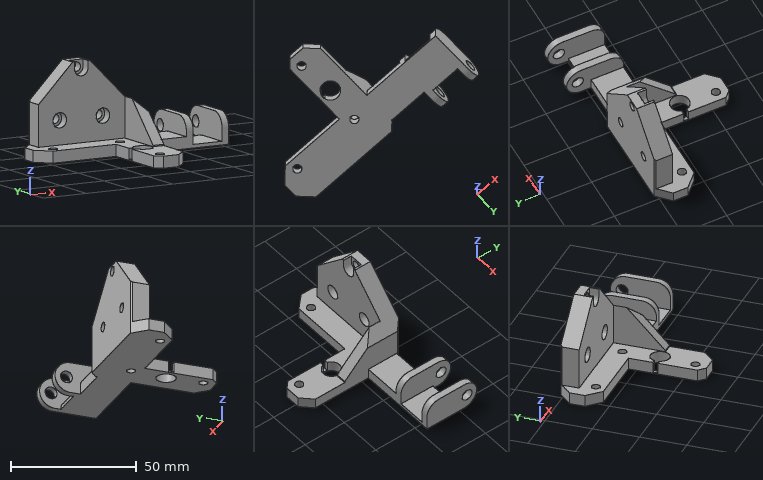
import cadquery as cq

length = 87.25
height = 38.0
back_y = 18.1
leg_front_y = -32.0
plate_thickness = 5.0

leg_left = 35.0
leg_right = 50.0
arm_chamfer = 5.8
leg_left_chamfer = 2.9
leg_right_chamfer = 5.0
back_chamfer = 3.2

wall_left = 5.1
wall_front_y = 10.0
ridge_left = 20.85
ridge_right = 29.0
gusset_left = 45.0
gusset_front_y = -12.0
gusset_foot_z = 5.5

mount_diameter = 3.6
mount_centers = [(8.4, 4.2), (39.35, 4.2), (39.35, -26.8)]
clamp_diameter = 8.1
clamp_x = 40.7
clamp_y = -11.3
slit_width = 2.1
slit_floor_z = 0.6
screw_diameter = 3.8
counterbore_diameter = 6.2
counterbore_depth = 3.9
ridge_hole_z = 35.2
lower_hole_z = 15.0
lower_hole_spacing = 20.0

strip_back_y = 14.6
hinge_floor_back_y = 16.3
hinge_floor_thickness = 1.6
lug_thickness = 3.1
lug_height = 13.1
lug_back_y = 25.5
lug_front_radius = 6.1
inner_lug_left = 67.6
pin_diameter = 5.0
pin_y = 20.5


def box(x0, x1, y0, y1, z0, z1):
    """Return a box spanning the given limits."""
    return cq.Workplane("XY").box(x1 - x0, y1 - y0, z1 - z0, centered=False).translate((x0, y0, z0))


def make_footprint(depth):
    """Extrude the chamfered L outline upward."""
    outline = [
        (0, arm_chamfer),
        (arm_chamfer, 0),
        (leg_left, 0),
        (leg_left, leg_front_y + leg_left_chamfer),
        (leg_left + leg_left_chamfer, leg_front_y),
        (leg_right - leg_right_chamfer, leg_front_y),
        (leg_right, leg_front_y + leg_right_chamfer),
        (leg_right, back_y - back_chamfer),
        (leg_right - back_chamfer, back_y),
        (arm_chamfer, back_y),
        (0, back_y - arm_chamfer),
    ]
    return cq.Workplane("XY").polyline(outline).close().extrude(depth)


def make_upright():
    """Wall and gusset sharing one gable, trimmed to the chamfered footprint."""
    left_eave_z = height - (ridge_left - wall_left)
    right_eave_z = height - (leg_right - ridge_right)
    gable_outline = [
        (wall_left, 0),
        (wall_left, left_eave_z),
        (ridge_left, height),
        (ridge_right, height),
        (leg_right, right_eave_z),
        (leg_right, 0),
    ]
    gable = (
        cq.Workplane("XZ", origin=(0, back_y, 0))
        .polyline(gable_outline).close()
        .extrude(back_y - gusset_front_y)
    )
    wall = box(wall_left, leg_right, wall_front_y, back_y, 0, height)
    gusset_rise = height - gusset_foot_z
    gusset_outline = [
        (gusset_front_y, 0),
        (gusset_front_y, gusset_foot_z),
        (gusset_front_y + gusset_rise, height),
        (gusset_front_y + gusset_rise, 0),
    ]
    gusset = (
        cq.Workplane("YZ", origin=(gusset_left, 0, 0))
        .polyline(gusset_outline).close()
        .extrude(leg_right - gusset_left)
    )
    return wall.union(gusset).intersect(gable).intersect(make_footprint(height))


def make_lug(left):
    """Upright lug with a full round back, a rounded front corner and a pin hole."""
    back_radius = lug_height / 2
    lug = (
        cq.Workplane("YZ", origin=(left, 0, 0))
        .lineTo(lug_back_y - back_radius, 0)
        .threePointArc((lug_back_y, back_radius), (lug_back_y - back_radius, lug_height))
        .lineTo(lug_front_radius, lug_height)
        .radiusArc((0, lug_height - lug_front_radius), -lug_front_radius)
        .close()
        .extrude(lug_thickness)
    )
    pin_hole = (
        cq.Workplane("YZ", origin=(left, pin_y, back_radius))
        .circle(pin_diameter / 2)
        .extrude(lug_thickness)
    )
    return lug.cut(pin_hole)


def make_hinge():
    """Strip from the base plate to two lugs joined by a thin floor."""
    outer_lug_left = length - lug_thickness
    strip = box(leg_left, inner_lug_left, 0, strip_back_y, 0, plate_thickness)
    floor = box(inner_lug_left, length, 0, hinge_floor_back_y, 0, hinge_floor_thickness)
    hinge = strip.union(floor)
    for left in (inner_lug_left, outer_lug_left):
        hinge = hinge.union(make_lug(left))
    return hinge


def make_base_cuts():
    """Mounting holes, clamp bore and the slit opening the bore to the leg's left side."""
    mounts = cq.Workplane("XY").pushPoints(mount_centers).circle(mount_diameter / 2).extrude(plate_thickness)
    bore = cq.Workplane("XY").center(clamp_x, clamp_y).circle(clamp_diameter / 2).extrude(plate_thickness)
    slit = box(
        leg_left, clamp_x,
        clamp_y - slit_width / 2, clamp_y + slit_width / 2,
        slit_floor_z, plate_thickness,
    )
    return mounts.union(bore).union(slit)


def make_wall_cuts():
    """Three counterbored screw holes, the top one open through the ridge."""
    ridge_x = (ridge_left + ridge_right) / 2
    centers = [
        (ridge_x, ridge_hole_z),
        (ridge_x - lower_hole_spacing / 2, lower_hole_z),
        (ridge_x + lower_hole_spacing / 2, lower_hole_z),
    ]
    front = cq.Workplane("XZ", origin=(0, wall_front_y, 0)).pushPoints(centers)
    screws = front.circle(screw_diameter / 2).extrude(wall_front_y - back_y)
    counterbores = front.circle(counterbore_diameter / 2).extrude(-counterbore_depth)
    ridge_opening = box(
        ridge_x - counterbore_diameter / 2, ridge_x + counterbore_diameter / 2,
        wall_front_y, wall_front_y + counterbore_depth,
        ridge_hole_z, height,
    )
    return screws.union(counterbores).union(ridge_opening)


body = make_footprint(plate_thickness).union(make_upright()).union(make_hinge())
result = body.cut(make_base_cuts()).cut(make_wall_cuts())